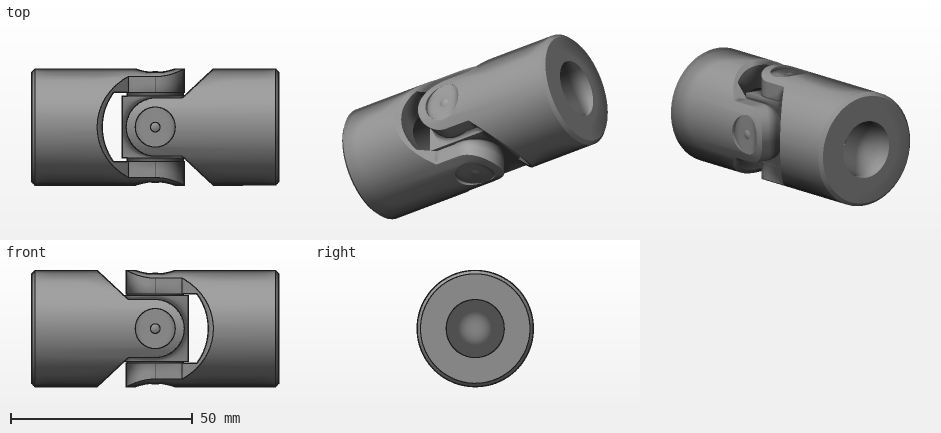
import cadquery as cq
import math

length = 68.0
outer_diameter = 32.0
bore_diameter = 16.0
end_chamfer = 0.95

arm_width = 16.0
arm_gap = 19.05
shoulder_start = 16.0
neck_start = 7.4
throat_radius = 15.5
throat_mouth_radius = 14.35

block_side = 18.2
block_thickness = 17.0
boss_diameter = 15.5
pin_diameter = 11.0
dome_diameter = 2.65
dome_height = 0.3

half_length = length / 2
outer_radius = outer_diameter / 2
arm_radius = arm_width / 2
pin_radius = pin_diameter / 2
pin_reach = math.sqrt(outer_radius**2 - pin_radius**2)


def make_yoke():
    """Yoke with its shaft end toward +X and its two arms above and below the joint centre."""
    barrel = (
        cq.Workplane("YZ")
        .workplane(offset=-arm_radius)
        .circle(outer_radius)
        .extrude(half_length + arm_radius)
        .faces(">X")
        .chamfer(end_chamfer)
    )
    outline = (
        cq.Workplane("XY")
        .moveTo(0, arm_radius)
        .threePointArc((-arm_radius, 0), (0, -arm_radius))
        .lineTo(neck_start, -arm_radius)
        .lineTo(shoulder_start, -outer_radius)
        .lineTo(half_length, -outer_radius)
        .lineTo(half_length, outer_radius)
        .lineTo(shoulder_start, outer_radius)
        .lineTo(neck_start, arm_radius)
        .close()
        .extrude(outer_radius, both=True)
    )
    throat = (
        cq.Workplane("XY")
        .moveTo(0, -outer_radius)
        .lineTo(throat_mouth_radius, -outer_radius)
        .threePointArc((throat_radius, 0), (throat_mouth_radius, outer_radius))
        .lineTo(0, outer_radius)
        .close()
        .revolve(360, (0, 0, 0), (0, 1, 0))
    )
    gap = cq.Workplane("XY").box(2 * throat_radius, outer_diameter, arm_gap).intersect(throat)
    bore = cq.Workplane("YZ").circle(bore_diameter / 2).extrude(half_length)
    pin_hole = cq.Workplane("XY").circle(pin_radius).extrude(outer_radius, both=True)
    return barrel.intersect(outline).cut(gap).cut(bore).cut(pin_hole)


def make_spindle():
    """Upright double-ended spindle: bosses, pins and a shallow dome on each pin end."""
    bosses = cq.Workplane("XY").circle(boss_diameter / 2).extrude(arm_gap / 2, both=True)
    pins = cq.Workplane("XY").circle(pin_radius).extrude(pin_reach, both=True)
    dome_radius = dome_diameter / 2
    sphere_radius = (dome_radius**2 + dome_height**2) / (2 * dome_height)
    sphere_centre = pin_reach + dome_height - sphere_radius
    spindle = bosses.union(pins)
    for side in (1, -1):
        ball = cq.Workplane("XY").sphere(sphere_radius).translate((0, 0, side * sphere_centre))
        core = cq.Workplane("XY").circle(dome_radius).extrude(side * outer_radius)
        spindle = spindle.union(ball.intersect(core))
    return spindle


def make_cross():
    """Centre block with one spindle along Z and one along Y."""
    block = cq.Workplane("XY").box(block_side, block_thickness, block_side)
    spindle = make_spindle()
    return block.union(spindle).union(spindle.rotate((0, 0, 0), (1, 0, 0), 90))


right_yoke = make_yoke()
left_yoke = make_yoke().rotate((0, 0, 0), (0, 0, 1), 180).rotate((0, 0, 0), (1, 0, 0), 90)
cross = make_cross()

result = cq.Compound.makeCompound([left_yoke.val(), right_yoke.val(), cross.val()])